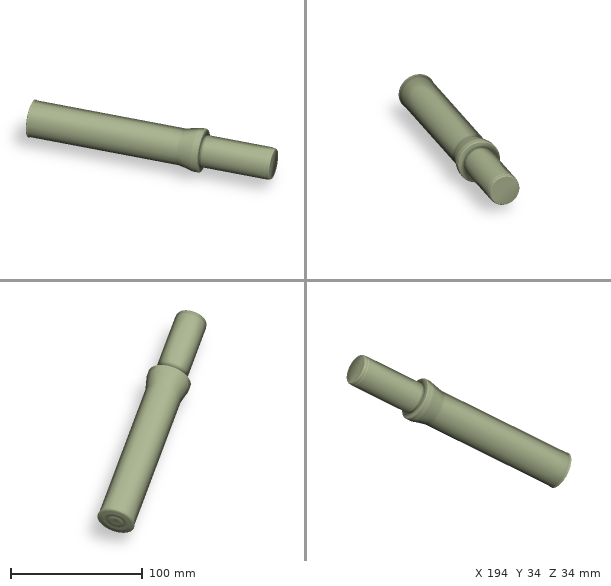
import cadquery as cq

LENGTH = 194.0
START_X = -LENGTH / 2
END_X = LENGTH / 2

HEAD_LENGTH = 2.5
EDGE_X = START_X + 1.0
RIM_WIDTH = 0.4
EDGE_RADIUS = 14.7
CORNER_START_RADIUS = 12.6
CORNER_START_DEPTH = 0.35
CORNER_MID_RADIUS = 14.0
CORNER_MID_DEPTH = 0.55
OUTER_RIDGE_RADIUS = 9.7
VALLEY_RADIUS = 6.8
VALLEY_DEPTH = 0.65
INNER_RIDGE_RADIUS = 4.7
INNER_RIDGE_DEPTH = 0.1
CENTRE_DEPTH = 0.5

BODY_RADIUS = 28.5 / 2
FLANGE_RADIUS = 34.0 / 2
CONE_START_X = START_X + 122.0
FLANGE_START_X = START_X + 132.5
FLANGE_END_X = START_X + 138.1
FLANGE_CHAMFER = 0.5
FLANGE_BLEND_LENGTH = 0.5
FLANGE_BLEND_RISE = 0.1
BODY_BLEND_LENGTH = 1.2
BODY_BLEND_RISE = 0.2

SHANK_RADIUS = 25.0 / 2
RELIEF_RADIUS = 24.5 / 2
NECK_END_X = START_X + 139.7
STEP_X = START_X + 190.5
STEP_TAPER = 0.8
END_CHAMFER_LENGTH = 1.2
END_CHAMFER_DEPTH = 0.5


def revolve_about_x(outline):
    """Revolve a closed (x, radius) outline about the X axis."""
    return outline.close().revolve(360, (0, 0, 0), (1, 0, 0))


def make_cutting_head():
    """Thin disc with a rounded rim and shallow conical rings on its end face."""
    back_x = START_X + HEAD_LENGTH
    outline = (
        cq.Workplane("XY")
        .moveTo(START_X + CENTRE_DEPTH, 0)
        .lineTo(START_X + INNER_RIDGE_DEPTH, INNER_RIDGE_RADIUS)
        .lineTo(START_X + VALLEY_DEPTH, VALLEY_RADIUS)
        .lineTo(START_X, OUTER_RIDGE_RADIUS)
        .lineTo(START_X + CORNER_START_DEPTH, CORNER_START_RADIUS)
        .threePointArc((START_X + CORNER_MID_DEPTH, CORNER_MID_RADIUS), (EDGE_X, EDGE_RADIUS))
        .lineTo(EDGE_X + RIM_WIDTH, EDGE_RADIUS)
        .lineTo(back_x, BODY_RADIUS)
        .lineTo(back_x, 0)
    )
    return revolve_about_x(outline)


def make_holder():
    """Body, conical flange and stepped rear shank."""
    front_x = START_X + HEAD_LENGTH
    outline = cq.Workplane("XY").polyline([
        (front_x, 0),
        (front_x, BODY_RADIUS),
        (CONE_START_X - BODY_BLEND_LENGTH, BODY_RADIUS),
        (CONE_START_X, BODY_RADIUS + BODY_BLEND_RISE),
        (FLANGE_START_X, FLANGE_RADIUS - FLANGE_BLEND_RISE),
        (FLANGE_START_X + FLANGE_BLEND_LENGTH, FLANGE_RADIUS),
        (FLANGE_END_X - FLANGE_CHAMFER, FLANGE_RADIUS),
        (FLANGE_END_X, FLANGE_RADIUS - FLANGE_CHAMFER),
        (FLANGE_END_X, RELIEF_RADIUS),
        (NECK_END_X - STEP_TAPER, RELIEF_RADIUS),
        (NECK_END_X, SHANK_RADIUS),
        (STEP_X, SHANK_RADIUS),
        (STEP_X + STEP_TAPER, RELIEF_RADIUS),
        (END_X - END_CHAMFER_LENGTH, RELIEF_RADIUS),
        (END_X, RELIEF_RADIUS - END_CHAMFER_DEPTH),
        (END_X, 0),
    ])
    return revolve_about_x(outline)


cutting_head = make_cutting_head()
holder = make_holder()
result = cq.Compound.makeCompound([cutting_head.val(), holder.val()])